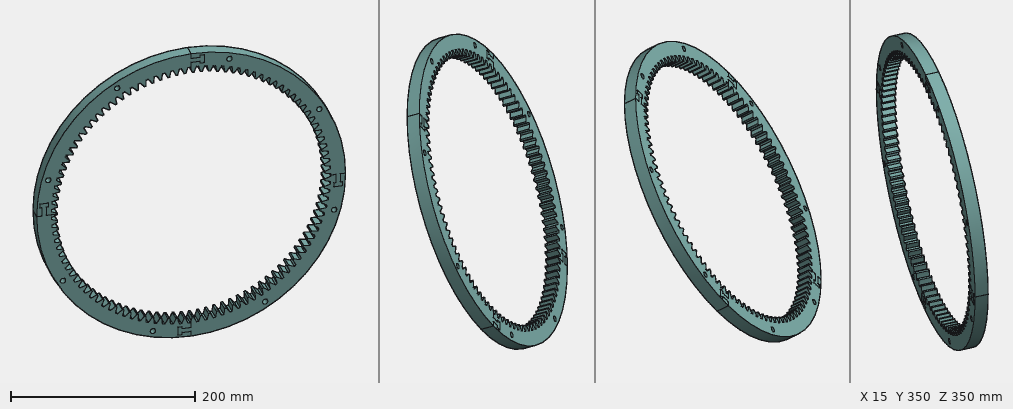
import cadquery as cq
import math

outer_radius = 175.0
thickness = 15.0
segment_count = 4
segment_angle = 360 / segment_count

tooth_count = 103
pitch_radius = 154.5
tip_radius = 151.5
root_radius = 158.2
pressure_angle = math.radians(20)
flank_clearance = 0.5
base_radius = pitch_radius * math.cos(pressure_angle)
tooth_pitch_angle = 2 * math.pi / tooth_count

bolt_circle_radius = 167.5
bolt_hole_diameter = 6.0
bolt_hole_angles = (15, 60)

tab_radius = (root_radius + outer_radius) / 2
tab_length = 15.0
tab_stem_width = 5.0
tab_head_width = 2 * tab_stem_width
tab_head_length = tab_stem_width

ring_plane = cq.Plane(origin=(0, 0, 0), xDir=(0, -1, 0), normal=(-1, 0, 0))
ring_axis_end = (1, 0, 0)


def extrude_to_thickness(sketch):
    """Extrude from the ring plane to +X."""
    return sketch.extrude(-thickness)


def polar(radius, angle):
    return (radius * math.cos(angle), radius * math.sin(angle))


def involute(angle):
    return math.tan(angle) - angle


def half_gap_angle(radius):
    """Half of the angle taken up by a tooth gap at this radius, with involute flanks."""
    flank_angle = math.acos(base_radius / radius)
    pitch_half_angle = tooth_pitch_angle / 4 + flank_clearance / pitch_radius
    return pitch_half_angle + involute(pressure_angle) - involute(flank_angle)


def toothed_opening():
    """The ring's opening: one gap after another, with a tooth centred on angle zero."""
    tip_half = half_gap_angle(tip_radius)
    pitch_half = half_gap_angle(pitch_radius)
    root_half = half_gap_angle(root_radius)
    outline = cq.Workplane(ring_plane).moveTo(*polar(tip_radius, tooth_pitch_angle / 2 - tip_half))
    for tooth in range(tooth_count):
        gap = (tooth + 0.5) * tooth_pitch_angle
        next_tooth = (tooth + 1) * tooth_pitch_angle
        next_gap = gap + tooth_pitch_angle
        outline = (
            outline
            .threePointArc(polar(pitch_radius, gap - pitch_half), polar(root_radius, gap - root_half))
            .threePointArc(polar(root_radius, gap), polar(root_radius, gap + root_half))
            .threePointArc(polar(pitch_radius, gap + pitch_half), polar(tip_radius, gap + tip_half))
            .threePointArc(polar(tip_radius, next_tooth), polar(tip_radius, next_gap - tip_half))
        )
    return extrude_to_thickness(outline.close())


def toothed_ring():
    disc = extrude_to_thickness(cq.Workplane(ring_plane).circle(outer_radius))
    return disc.cut(toothed_opening())


def turn(shape, angle):
    """Turn about the ring axis, from -Y towards +Z."""
    return shape.rotate((0, 0, 0), ring_axis_end, -angle)


def starting_seam_tab():
    """T-shape that reaches across the seam at angle zero; its foot is on the seam."""
    stem_length = tab_length - tab_head_length
    outline = (
        cq.Workplane(ring_plane)
        .moveTo(tab_radius - tab_stem_width / 2, 0)
        .lineTo(tab_radius + tab_stem_width / 2, 0)
        .lineTo(tab_radius + tab_stem_width / 2, stem_length)
        .lineTo(tab_radius + tab_head_width / 2, stem_length)
        .lineTo(tab_radius + tab_head_width / 2, tab_length)
        .lineTo(tab_radius - tab_head_width / 2, tab_length)
        .lineTo(tab_radius - tab_head_width / 2, stem_length)
        .lineTo(tab_radius - tab_stem_width / 2, stem_length)
        .close()
    )
    return extrude_to_thickness(outline)


def bolt_holes():
    places = [polar(bolt_circle_radius, math.radians(angle)) for angle in bolt_hole_angles]
    return extrude_to_thickness(cq.Workplane(ring_plane).pushPoints(places).circle(bolt_hole_diameter / 2))


def ring_segment(ring, index):
    """A quarter of the ring with a socket at its starting seam and a tab at its far seam."""
    start_angle = index * segment_angle
    quarter = extrude_to_thickness(cq.Workplane(ring_plane).rect(outer_radius, outer_radius, centered=False))
    return (
        ring
        .intersect(turn(quarter, start_angle))
        .cut(turn(starting_seam_tab(), start_angle))
        .cut(turn(bolt_holes(), start_angle))
        .union(turn(starting_seam_tab(), start_angle + segment_angle))
    )


gear_ring = toothed_ring()
ring_segments = [ring_segment(gear_ring, index) for index in range(segment_count)]

result = cq.Compound.makeCompound([segment.solids().val() for segment in ring_segments])